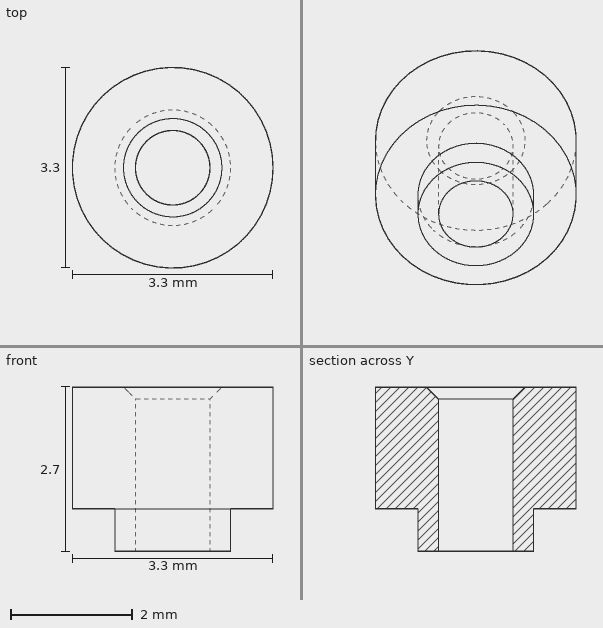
import cadquery as cq

body_diameter = 3.3
body_height = 2.0
spigot_diameter = 1.9
spigot_height = 0.7
bore_diameter = 1.22
countersink_diameter = 1.617

countersink_depth = (countersink_diameter - bore_diameter) / 2
total_height = spigot_height + body_height

spigot = cq.Workplane("XY").circle(spigot_diameter / 2).extrude(spigot_height)
body = (
    cq.Workplane("XY")
    .workplane(offset=spigot_height)
    .circle(body_diameter / 2)
    .extrude(body_height)
)

bore = cq.Workplane("XY").circle(bore_diameter / 2).extrude(total_height)
countersink = (
    cq.Workplane("XY")
    .workplane(offset=total_height - countersink_depth)
    .circle(bore_diameter / 2)
    .workplane(offset=countersink_depth)
    .circle(countersink_diameter / 2)
    .loft(ruled=True)
)

result = spigot.union(body).cut(bore).cut(countersink)